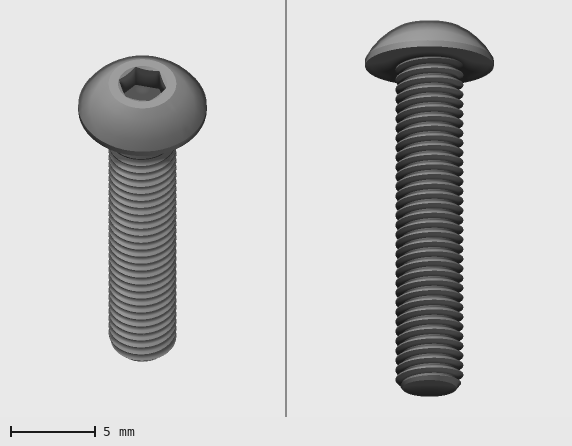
import cadquery as cq
import math


head_diameter = 7.6
head_height = 2.2
rim_height = 0.38
top_flat_diameter = 4.0

socket_across_flats = 2.5
socket_depth = 1.55
socket_across_corners = socket_across_flats / math.cos(math.pi / 6)
countersink_slope = math.radians(30)

thread_diameter = 4.0
thread_pitch = 0.6
thread_length = 20.0
tip_diameter = 3.2
tip_chamfer_height = 0.5
crest_width = thread_pitch / 8
flank_half_angle = math.radians(30)
sharp_v_height = thread_pitch / 2 / math.tan(flank_half_angle)
thread_depth = sharp_v_height * 17 / 24
crest_height_above_tip = 0.485

overrun = 0.03
turns_past_end = 2


def make_head():
    """Disc rim with a spherical dome, flat on top."""
    rim_radius = head_diameter / 2
    flat_radius = top_flat_diameter / 2
    dome_height = head_height - rim_height
    centre_below_flat = (rim_radius**2 - flat_radius**2 + dome_height**2) / (2 * dome_height)
    sphere_radius = math.hypot(flat_radius, centre_below_flat)
    mid_z = head_height - dome_height / 2
    mid_radius = math.sqrt(sphere_radius**2 - (centre_below_flat - dome_height / 2) ** 2)
    return (
        cq.Workplane("XZ")
        .lineTo(rim_radius, 0)
        .lineTo(rim_radius, rim_height)
        .threePointArc((mid_radius, mid_z), (flat_radius, head_height))
        .lineTo(0, head_height)
        .close()
        .revolve(360, (0, 0, 0), (0, 1, 0))
    )


def make_socket():
    """Hexagonal recess, corners on the Y axis, with a conical lead-in through the corners."""
    hexagon = (
        cq.Workplane("XY", origin=(0, 0, head_height))
        .transformed(rotate=(0, 0, 90))
        .polygon(6, socket_across_corners)
        .extrude(-socket_depth)
    )
    lead_in_radius = socket_across_corners / 2
    lead_in = (
        cq.Workplane("XZ", origin=(0, 0, head_height))
        .lineTo(lead_in_radius, 0)
        .lineTo(0, -lead_in_radius * math.tan(countersink_slope))
        .close()
        .revolve(360, (0, 0, 0), (0, 1, 0))
    )
    return hexagon.union(lead_in)


def make_blank_shank():
    """Cylinder at the thread crest diameter with a chamfered tip."""
    crest_radius = thread_diameter / 2
    return (
        cq.Workplane("XZ")
        .lineTo(crest_radius, 0)
        .lineTo(crest_radius, tip_chamfer_height - thread_length)
        .lineTo(tip_diameter / 2, -thread_length)
        .lineTo(0, -thread_length)
        .close()
        .revolve(360, (0, 0, 0), (0, 1, 0))
    )


def groove_profile():
    """Groove corners as (radius, height), with height 0 on the groove centre line."""
    crest_radius = thread_diameter / 2
    root_radius = crest_radius - thread_depth
    outer_radius = crest_radius + overrun
    flank_slope = math.tan(flank_half_angle)
    root_half_width = (thread_pitch - crest_width) / 2 - thread_depth * flank_slope
    outer_half_width = root_half_width + (outer_radius - root_radius) * flank_slope
    return [
        (root_radius, -root_half_width),
        (outer_radius, -outer_half_width),
        (outer_radius, outer_half_width),
        (root_radius, root_half_width),
    ]


def make_groove_turn(start_z):
    """Faces of one full turn of the groove: a ruled surface between each pair of corner helices."""
    helices = [
        cq.Wire.makeHelix(thread_pitch, thread_pitch, radius, center=cq.Vector(0, 0, start_z + height))
        for radius, height in groove_profile()
    ]
    next_helices = helices[1:] + helices[:1]
    return [cq.Face.makeRuledSurface(*pair) for pair in zip(helices, next_helices)]


def make_groove_end(end_z):
    """Flat face that closes the groove on the +X half-plane."""
    corners = [cq.Vector(radius, 0, end_z + height) for radius, height in groove_profile()]
    return cq.Face.makeFromWires(cq.Wire.makePolygon(corners, close=True))


def make_thread_groove():
    """Right-hand helical groove that runs past both ends of the shank."""
    start_z = crest_height_above_tip - thread_length - (turns_past_end + 0.5) * thread_pitch
    turn_count = math.ceil(thread_length / thread_pitch) + 2 * turns_past_end
    faces = [make_groove_end(start_z), make_groove_end(start_z + turn_count * thread_pitch)]
    for turn in range(turn_count):
        faces += make_groove_turn(start_z + turn * thread_pitch)
    return cq.Workplane(obj=cq.Solid.makeSolid(cq.Shell.makeShell(faces)))


threaded_shank = make_blank_shank().cut(make_thread_groove())
result = make_head().union(threaded_shank).cut(make_socket())